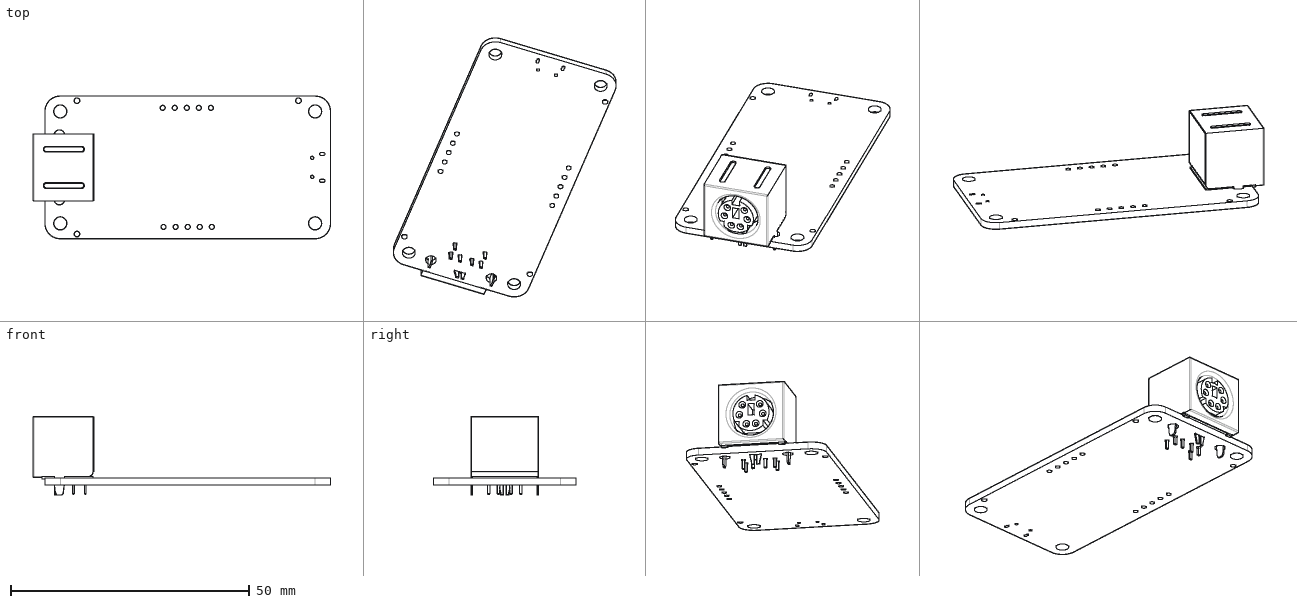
import cadquery as cq

BOARD_LENGTH = 60.0
BOARD_WIDTH = 30.0
BOARD_THICKNESS = 1.5
BOARD_CORNER_RADIUS = 3.25

MOUNTING_HOLE_DIAMETER = 2.7
MOUNTING_HOLE_X = BOARD_LENGTH / 2 - BOARD_CORNER_RADIUS
MOUNTING_HOLE_Y = BOARD_WIDTH / 2 - BOARD_CORNER_RADIUS

LOCATING_HOLE_DIAMETER = 1.1
LOCATING_HOLE_X = 23.25
LOCATING_HOLE_Y = 14.0

HEADER_HOLE_DIAMETER = 1.0
HEADER_HOLE_COUNT = 5
HEADER_SPAN = 10.1
HEADER_PITCH = HEADER_SPAN / (HEADER_HOLE_COUNT - 1)
HEADER_Y = 12.5
REAR_HEADER_X = -0.2
FRONT_HEADER_X = 0.0

PORT_HOLE_DIAMETER = 0.6
PORT_HOLE_X = 26.1
PORT_HOLE_Y = 2.0
PORT_SLOT_LENGTH = 1.1
PORT_SLOT_WIDTH = 0.55
PORT_SLOT_X = 28.25
PORT_SLOT_Y = 2.8

SHELL_OVERHANG = 2.5
SHELL_FACE_X = -BOARD_LENGTH / 2 - SHELL_OVERHANG
SHELL_LENGTH = 12.6
SHELL_WIDTH = 14.1
SHELL_TOP_Z = 14.4
SHELL_GAP = 0.3
SHELL_BOTTOM_Z = BOARD_THICKNESS + SHELL_GAP
SHELL_FRONT_RADIUS = 0.25
SHELL_REAR_RADIUS = 0.95
FRONT_LIP_LENGTH = 1.9
FRONT_LIP_DEPTH = 0.2
SHEET_THICKNESS = 0.3

BACK_PLATE_THICKNESS = 0.2
BACK_PLATE_BOTTOM_Z = 2.8
BACK_PLATE_INSET = 0.05

ROOF_SLOT_LENGTH = 8.6
ROOF_SLOT_WIDTH = 1.25
ROOF_SLOT_DEPTH = 0.25
ROOF_SLOT_TAPER = 30
ROOF_SLOT_X = SHELL_FACE_X + 6.5
ROOF_SLOT_Y = 3.8

BASE_START_X = SHELL_FACE_X + FRONT_LIP_LENGTH
BASE_LENGTH = SHELL_FACE_X + SHELL_LENGTH - BASE_START_X
BASE_WIDTH = SHELL_WIDTH - 2 * SHEET_THICKNESS
STOP_LENGTH = -BOARD_LENGTH / 2 - BASE_START_X
STOP_WIDTH = 1.25
STOP_DEPTH = 0.25

SOCKET_Z = 7.9
OPENING_RADIUS = 4.7
OPENING_LIP_RADIUS = 0.7
OPENING_DEPTH = 5.0
OPENING_FLAT_DROP = 4.25
PLUG_RADIUS = 3.9
TOP_KEY_WIDTH = 1.7
TOP_KEY_RISE = 2.75
SIDE_KEY_Y = 2.55
SIDE_KEY_DROP = 1.75
CENTRE_SLOT_WIDTH = 1.4
CENTRE_SLOT_HEIGHT = 2.45
CENTRE_SLOT_RISE = 0.75
CONTACT_DIAMETER = 0.6
CONTACT_MOUTH_DIAMETER = 1.45
CONTACT_DEPTH = 2.5
CONTACTS = [(1.9, 1.8), (2.5, -0.3), (1.0, -2.4)]

LEG_BOTTOM_Z = -2.1
SIDE_TAB_X = SHELL_FACE_X + 5.55
SIDE_TAB_WIDTH = 2.05
SIDE_TAB_END_WIDTH = 1.6
SIDE_TAB_TIP_WIDTH = 1.0
SIDE_TAB_TIP_HEIGHT = 0.4
SIDE_TAB_Y = (SHELL_WIDTH - SHEET_THICKNESS) / 2
SIDE_TAB_HOLE_DIAMETER = 2.2
SIDE_TAB_HOLE_Y = 6.75

CENTRE_TAB_X = SHELL_FACE_X + 4.7
CENTRE_TAB_WIDTH = 2.5
CENTRE_TAB_TIP_WIDTH = 1.75
CENTRE_TAB_TIP_Z = -1.55
CENTRE_TAB_BOTTOM_Z = -2.05
CENTRE_TAB_SPLIT = 0.55

PIN_WIDTH = 0.55
PIN_THICKNESS = 0.4
PIN_BOTTOM_Z = -1.95
PIN_TIP_CHAMFER = 0.155
PIN_HOLE_DIAMETER = 0.9
FRONT_PIN_X = SHELL_FACE_X + 8.5
REAR_PIN_X = SHELL_FACE_X + 11.0
INNER_PIN_Y = 1.3
OUTER_PIN_Y = 3.4
PIN_POINTS = [
    (x, side * y)
    for x, y in [(FRONT_PIN_X, INNER_PIN_Y), (FRONT_PIN_X, OUTER_PIN_Y), (REAR_PIN_X, OUTER_PIN_Y)]
    for side in (1, -1)
]


def box(x_range, y_range, z_range):
    """Box between two limits along each axis."""
    (x0, x1), (y0, y1), (z0, z1) = x_range, y_range, z_range
    return cq.Workplane("XY").box(x1 - x0, y1 - y0, z1 - z0, centered=False).translate((x0, y0, z0))


def yz_plane(x):
    """Plane across X whose local axes are Y and Z, with its origin on the socket axis."""
    return cq.Workplane("YZ", origin=(x, 0, SOCKET_Z))


def header_points(centre_x, y):
    """Hole centres of one straight header row."""
    middle = (HEADER_HOLE_COUNT - 1) / 2
    return [(centre_x + (i - middle) * HEADER_PITCH, y) for i in range(HEADER_HOLE_COUNT)]


def make_board():
    """Rounded board with its mounting, header, port and socket holes."""
    board = (
        cq.Workplane("XY")
        .box(BOARD_LENGTH, BOARD_WIDTH, BOARD_THICKNESS, centered=(True, True, False))
        .edges("|Z")
        .fillet(BOARD_CORNER_RADIUS)
    )
    corners = [(1, 1), (1, -1), (-1, 1), (-1, -1)]
    holes = [
        (MOUNTING_HOLE_DIAMETER, [(i * MOUNTING_HOLE_X, j * MOUNTING_HOLE_Y) for i, j in corners]),
        (
            LOCATING_HOLE_DIAMETER,
            [
                (-LOCATING_HOLE_X, LOCATING_HOLE_Y),
                (-LOCATING_HOLE_X, -LOCATING_HOLE_Y),
                (LOCATING_HOLE_X, LOCATING_HOLE_Y),
            ],
        ),
        (HEADER_HOLE_DIAMETER, header_points(REAR_HEADER_X, HEADER_Y)),
        (HEADER_HOLE_DIAMETER, header_points(FRONT_HEADER_X, -HEADER_Y)),
        (PORT_HOLE_DIAMETER, [(PORT_HOLE_X, PORT_HOLE_Y), (PORT_HOLE_X, -PORT_HOLE_Y)]),
        (SIDE_TAB_HOLE_DIAMETER, [(SIDE_TAB_X, SIDE_TAB_HOLE_Y), (SIDE_TAB_X, -SIDE_TAB_HOLE_Y)]),
        (PIN_HOLE_DIAMETER, PIN_POINTS),
    ]
    for diameter, points in holes:
        cutter = cq.Workplane("XY").pushPoints(points).circle(diameter / 2).extrude(BOARD_THICKNESS)
        board = board.cut(cutter)
    port_slots = (
        cq.Workplane("XY")
        .pushPoints([(PORT_SLOT_X, PORT_SLOT_Y), (PORT_SLOT_X, -PORT_SLOT_Y)])
        .slot2D(PORT_SLOT_LENGTH, PORT_SLOT_WIDTH)
        .extrude(BOARD_THICKNESS)
    )
    centre_tab_slot = (
        cq.Workplane("XY")
        .center(CENTRE_TAB_X, 0)
        .rect(SHEET_THICKNESS, CENTRE_TAB_WIDTH)
        .extrude(BOARD_THICKNESS)
    )
    return board.cut(port_slots).cut(centre_tab_slot)


def make_shell():
    """Shell block with rounded front edges, a lower front lip, an inset back plate and roof slots."""
    rear_x = SHELL_FACE_X + SHELL_LENGTH
    half_width = SHELL_WIDTH / 2
    sides = (-half_width, half_width)
    lip_bottom_z = SHELL_BOTTOM_Z - FRONT_LIP_DEPTH
    shell = box((SHELL_FACE_X, rear_x), sides, (lip_bottom_z, SHELL_TOP_Z))
    shell = shell.faces("<X").edges().fillet(SHELL_FRONT_RADIUS)
    underside_relief = box((SHELL_FACE_X + FRONT_LIP_LENGTH, rear_x), sides, (lip_bottom_z, SHELL_BOTTOM_Z))
    shell = shell.cut(underside_relief)
    shell = shell.faces(">X").edges("<Z").fillet(SHELL_REAR_RADIUS)
    half_plate = half_width - BACK_PLATE_INSET
    back_plate = box(
        (rear_x, rear_x + BACK_PLATE_THICKNESS),
        (-half_plate, half_plate),
        (BACK_PLATE_BOTTOM_Z, SHELL_TOP_Z - BACK_PLATE_INSET),
    )
    roof_slots = (
        cq.Workplane("XY", origin=(0, 0, SHELL_TOP_Z))
        .pushPoints([(ROOF_SLOT_X, ROOF_SLOT_Y), (ROOF_SLOT_X, -ROOF_SLOT_Y)])
        .slot2D(ROOF_SLOT_LENGTH, ROOF_SLOT_WIDTH)
        .extrude(-ROOF_SLOT_DEPTH, taper=ROOF_SLOT_TAPER)
    )
    return shell.union(back_plate).cut(roof_slots)


def make_base():
    """Plastic base resting on the board, with two stops against the board's end."""
    half_width = BASE_WIDTH / 2
    rest_z = BOARD_THICKNESS
    base = box(
        (BASE_START_X, BASE_START_X + BASE_LENGTH), (-half_width, half_width), (rest_z, SHELL_BOTTOM_Z)
    )
    for inner_y in (-half_width, half_width - STOP_WIDTH):
        stop = box(
            (BASE_START_X, BASE_START_X + STOP_LENGTH),
            (inner_y, inner_y + STOP_WIDTH),
            (rest_z - STOP_DEPTH, SHELL_BOTTOM_Z),
        )
        base = base.union(stop)
    return base


def make_opening():
    """Round opening with a rolled lip and a flat along its lower side."""
    lip_centre = OPENING_RADIUS + OPENING_LIP_RADIUS
    bore = yz_plane(SHELL_FACE_X).circle(OPENING_RADIUS).extrude(OPENING_DEPTH)
    flat = (
        yz_plane(SHELL_FACE_X)
        .center(0, -OPENING_FLAT_DROP - OPENING_RADIUS / 2)
        .rect(2 * OPENING_RADIUS, OPENING_RADIUS)
        .extrude(OPENING_DEPTH)
    )
    lip_end_x = SHELL_FACE_X + OPENING_LIP_RADIUS
    arc_offset = OPENING_LIP_RADIUS * 0.5**0.5
    lip = (
        cq.Workplane("XY")
        .moveTo(SHELL_FACE_X, 0)
        .lineTo(SHELL_FACE_X, lip_centre)
        .threePointArc((lip_end_x - arc_offset, lip_centre - arc_offset), (lip_end_x, OPENING_RADIUS))
        .lineTo(lip_end_x, 0)
        .close()
        .revolve(360, (0, 0, 0), (1, 0, 0))
        .translate((0, 0, SOCKET_Z))
    )
    return bore.cut(flat).union(lip)


def make_plug():
    """Round contact carrier, level with the shell face, with key notches, centre slot and contact holes."""
    plug = yz_plane(SHELL_FACE_X).circle(PLUG_RADIUS).extrude(OPENING_DEPTH)
    top_key = (
        yz_plane(SHELL_FACE_X)
        .center(0, TOP_KEY_RISE + PLUG_RADIUS / 2)
        .rect(TOP_KEY_WIDTH, PLUG_RADIUS)
        .extrude(OPENING_DEPTH)
    )
    side_keys = (
        yz_plane(SHELL_FACE_X)
        .pushPoints(
            [(side * (SIDE_KEY_Y + PLUG_RADIUS / 2), -SIDE_KEY_DROP - PLUG_RADIUS / 2) for side in (1, -1)]
        )
        .rect(PLUG_RADIUS, PLUG_RADIUS)
        .extrude(OPENING_DEPTH)
    )
    centre_slot = (
        yz_plane(SHELL_FACE_X)
        .center(0, CENTRE_SLOT_RISE)
        .rect(CENTRE_SLOT_WIDTH, CENTRE_SLOT_HEIGHT)
        .extrude(OPENING_DEPTH)
    )
    plug = plug.cut(top_key).cut(side_keys).cut(centre_slot)
    contact_points = [(side * y, rise) for y, rise in CONTACTS for side in (1, -1)]
    bores = (
        yz_plane(SHELL_FACE_X)
        .pushPoints(contact_points)
        .circle(CONTACT_DIAMETER / 2)
        .extrude(CONTACT_DEPTH)
    )
    mouth_depth = (CONTACT_MOUTH_DIAMETER - CONTACT_DIAMETER) / 2
    for y, rise in contact_points:
        mouth = cq.Solid.makeCone(
            CONTACT_MOUTH_DIAMETER / 2,
            CONTACT_DIAMETER / 2,
            mouth_depth,
            cq.Vector(SHELL_FACE_X, y, SOCKET_Z + rise),
            cq.Vector(1, 0, 0),
        )
        bores = bores.union(cq.Workplane(mouth))
    return plug.cut(bores)


def make_side_tab(y):
    """Tapered shell tab in a plane across Y, centred on the given Y."""
    half_top = SIDE_TAB_WIDTH / 2
    half_end = SIDE_TAB_END_WIDTH / 2
    half_tip = SIDE_TAB_TIP_WIDTH / 2
    taper_end_z = LEG_BOTTOM_Z + SIDE_TAB_TIP_HEIGHT
    right_side = [
        (half_top, SHELL_BOTTOM_Z),
        (half_top, 0),
        (half_end, taper_end_z),
        (half_tip, LEG_BOTTOM_Z),
    ]
    left_side = [(-x, z) for x, z in reversed(right_side)]
    return (
        cq.Workplane("XZ", origin=(SIDE_TAB_X, y, 0))
        .polyline(right_side + left_side)
        .close()
        .extrude(SHEET_THICKNESS / 2, both=True)
    )


def make_centre_tab():
    """Tapered tab across X, split below the board into two prongs."""
    half_top = CENTRE_TAB_WIDTH / 2
    half_tip = CENTRE_TAB_TIP_WIDTH / 2
    left_side = [
        (half_top, SHELL_BOTTOM_Z),
        (half_top, 0),
        (half_tip, CENTRE_TAB_TIP_Z),
        (half_tip, CENTRE_TAB_BOTTOM_Z),
    ]
    right_side = [(-y, z) for y, z in reversed(left_side)]
    tab = (
        cq.Workplane("YZ", origin=(CENTRE_TAB_X, 0, 0))
        .polyline(left_side + right_side)
        .close()
        .extrude(SHEET_THICKNESS / 2, both=True)
    )
    half_sheet = SHEET_THICKNESS / 2
    half_split = CENTRE_TAB_SPLIT / 2
    split = box(
        (CENTRE_TAB_X - half_sheet, CENTRE_TAB_X + half_sheet),
        (-half_split, half_split),
        (CENTRE_TAB_BOTTOM_Z, 0),
    )
    return tab.cut(split)


def make_pin(x, y):
    """Flat contact pin with a bevelled tip."""
    return (
        cq.Workplane("XY", origin=(x, y, PIN_BOTTOM_Z))
        .rect(PIN_THICKNESS, PIN_WIDTH)
        .extrude(SHELL_BOTTOM_Z - PIN_BOTTOM_Z)
        .faces("<Z")
        .edges()
        .chamfer(PIN_TIP_CHAMFER)
    )


def make_socket():
    """Complete socket: shell, base, mating face and legs as one solid."""
    socket = make_shell().cut(make_opening()).union(make_plug()).union(make_base())
    for side in (1, -1):
        socket = socket.union(make_side_tab(side * SIDE_TAB_Y))
    socket = socket.union(make_centre_tab())
    for x, y in PIN_POINTS:
        socket = socket.union(make_pin(x, y))
    return socket


board = make_board()
socket = make_socket()

result = cq.Compound.makeCompound([board.val(), socket.val()])